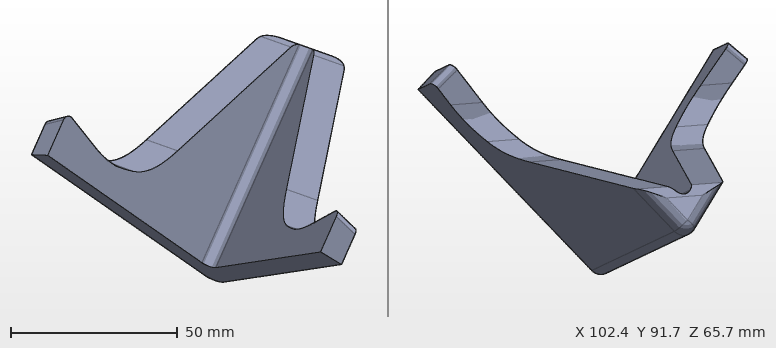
import cadquery as cq
import math

half_width = 51.2
wall_thickness = 8.0
sweep_length = 75.0
lean_angle = 20.0
wall_angle = 50.7

outer_corner_radius = 4.0
inner_corner_radius = 3.0
back_edge_radius = 4.0
tip_radius = 4.0
arm_end_radius = 2.0

top_height = 41.0
arm_back_y = -9.1
hollow_start_y = 11.5
hollow_middle = (-4.2, 44.8)
hollow_middle_direction = (-1, 1)
hollow_end_z = 55.9
margin = 204.8

lean = math.radians(lean_angle)
rise = math.radians(wall_angle)


def make_v_body():
    """V with square arm ends, rounded inside and outside the bend."""
    arm_tip = (half_width, half_width * math.tan(rise))
    inner_tip = (
        arm_tip[0] - wall_thickness * math.sin(rise),
        arm_tip[1] + wall_thickness * math.cos(rise),
    )
    inner_corner_height = wall_thickness / math.cos(rise)
    front_plane = cq.Plane(
        origin=(0, 0, 0),
        xDir=(1, 0, 0),
        normal=(0, -math.cos(lean), -math.sin(lean)),
    )
    body = (
        cq.Workplane(front_plane)
        .moveTo(0, 0)
        .lineTo(*arm_tip)
        .lineTo(*inner_tip)
        .lineTo(0, inner_corner_height)
        .lineTo(-inner_tip[0], inner_tip[1])
        .lineTo(-arm_tip[0], arm_tip[1])
        .close()
        .extrude(-sweep_length)
    )

    def bend_edge(height):
        """Selector for the bend edge at this height in the plane of the V."""
        middle = front_plane.toWorldCoords((0, height, -sweep_length / 2))
        return cq.NearestToPointSelector(middle.toTuple())

    body = body.edges(bend_edge(0)).fillet(outer_corner_radius)
    body = body.edges(bend_edge(inner_corner_height)).fillet(inner_corner_radius)

    outer_back_point = front_plane.toWorldCoords(
        (half_width / 2, half_width / 2 * math.tan(rise), -sweep_length)
    )
    return body.edges(cq.NearestToPointSelector(outer_back_point.toTuple())).fillet(back_edge_radius)


def make_side_envelope():
    """Material below the flat top and in front of the upright arm back."""
    tip_y = (sweep_length - top_height * math.sin(lean)) / math.cos(lean)
    envelope_bottom = -margin
    bottom_y = (sweep_length - envelope_bottom * math.sin(lean)) / math.cos(lean)
    envelope = (
        cq.Workplane("YZ")
        .moveTo(bottom_y, envelope_bottom)
        .lineTo(tip_y, top_height)
        .lineTo(hollow_start_y, top_height)
        .spline([hollow_middle], tangents=[(-1, 0), hollow_middle_direction], includeCurrent=True)
        .spline(
            [(arm_back_y, hollow_end_z)],
            tangents=[hollow_middle_direction, (0, 1)],
            includeCurrent=True,
        )
        .lineTo(arm_back_y, margin)
        .lineTo(-margin, margin)
        .lineTo(-margin, envelope_bottom)
        .close()
        .extrude(margin, both=True)
    )
    tip_edge = cq.NearestToPointSelector((0, tip_y, top_height))
    return envelope.edges(tip_edge).fillet(tip_radius)


def round_arm_ends(body):
    """Round the edge between each arm's end face and its upright back."""
    tip_v = half_width * math.tan(rise) + wall_thickness / 2 * math.cos(rise)
    edge_z = (tip_v + arm_back_y * math.sin(lean)) / math.cos(lean)
    edge_x = half_width - wall_thickness / 2 * math.sin(rise)
    for side in (-1, 1):
        edge = cq.NearestToPointSelector((side * edge_x, arm_back_y, edge_z))
        body = body.edges(edge).fillet(arm_end_radius)
    return body


result = round_arm_ends(make_v_body().intersect(make_side_envelope()))